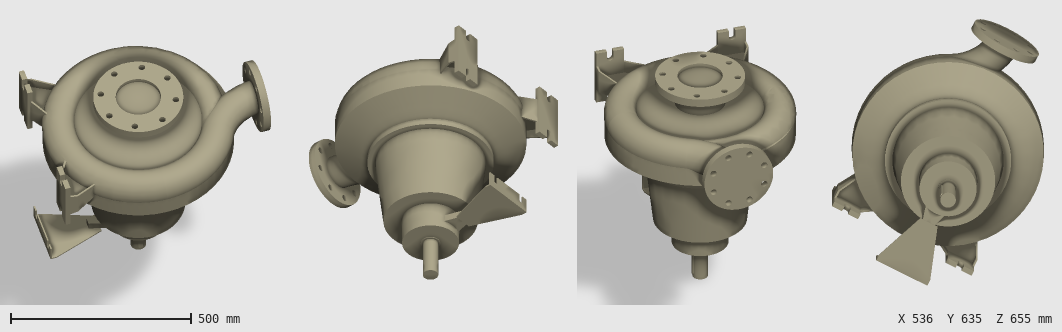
import cadquery as cq
import math


suction_face_z = 125.0
suction_flange_radius = 125.0
suction_flange_thickness = 23.5
suction_bolt_circle_radius = 105.0
neck_radius = 71.0
neck_base_z = 39.0
suction_bore_radius = 63.0
suction_bore_depth = 12.5

drum_radius = 266.0
drum_top_z = 4.0
drum_bottom_z = -69.5
joint_radius = 175.5
joint_top_z = -116.0
joint_bottom_z = -135.0
bell_top_radius = 154.5
bell_bottom_radius = 131.0
bell_bottom_z = -340.5
housing_top_radius = 81.0
housing_bottom_radius = 79.0
housing_bottom_z = -417.0
lip_radius = 27.5
lip_height = 2.0
shaft_radius = 21.5
shaft_end_z = -530.0

key_width = 13.0
key_height_above_shaft = 2.0
key_length = 92.5
key_bottom_z = -521.5

volute_outer_radius = 268.0
volute_pipe_diameter = 95.0
volute_pipe_radius = volute_pipe_diameter / 2
volute_centre_radius = volute_outer_radius - volute_pipe_radius
scroll_radius_at_back = 40.0
scroll_centre_radius_at_back = 211.0
scroll_start_angle = 180
quarter_turn = 90
scroll_step_count = 6
discharge_face_y = 355.0
discharge_flange_radius = 100.0
discharge_flange_thickness = 21.5
discharge_bolt_circle_radius = 80.0

flange_bolt_count = 8
flange_bolt_diameter = 18.5

foot_face_y = -280.0
foot_centre_x = 177.5
foot_width = 81.0
foot_height = 160.0
foot_thickness = 15.0
foot_slot_width = 19.0
foot_slot_depth = 30.0
outer_rib_thickness = 5.0
inner_rib_width_along_y = 6.5
web_thickness = 5.0
rib_bend_y = -243.0
rib_height_at_plate = 78.0
rib_height_at_casing = 47.0
outer_rib_end = (181.5, -174.0)
inner_rib_end = (78.5, -236.5)

arm_root_y = -74.5
arm_tip_y = -147.5
arm_root_width = 61.5
arm_tip_width = 19.0
arm_top_z = -375.0
arm_bottom_z = -395.5
support_start_y = -115.0
support_start_width = 54.0
support_width = 160.0
support_straight_length = 18.0
support_height = 44.5
support_thickness = 4.0
support_slot_spacing = 110.0
support_slot_width = 14.5
support_slot_depth = 24.0


def rotating_body():
    """Suction flange, casing, bearing bracket and shaft as one turned profile."""
    flange_bottom_z = suction_face_z - suction_flange_thickness
    profile = [
        (0, suction_face_z),
        (suction_flange_radius, suction_face_z),
        (suction_flange_radius, flange_bottom_z),
        (neck_radius, flange_bottom_z),
        (neck_radius, neck_base_z),
        (drum_radius, drum_top_z),
        (drum_radius, drum_bottom_z),
        (joint_radius, joint_top_z),
        (joint_radius, joint_bottom_z),
        (bell_top_radius, joint_bottom_z),
        (bell_bottom_radius, bell_bottom_z),
        (housing_top_radius, bell_bottom_z),
        (housing_bottom_radius, housing_bottom_z),
        (lip_radius, housing_bottom_z),
        (lip_radius, housing_bottom_z - lip_height),
        (shaft_radius, housing_bottom_z - lip_height),
        (shaft_radius, shaft_end_z),
        (0, shaft_end_z),
    ]
    return cq.Workplane("XZ").polyline(profile).close().revolve(360, (0, 0), (0, 1))


def bolt_holes(workplane, bolt_circle_radius, depth):
    half_pitch = 180 / flange_bolt_count
    return (
        workplane.polarArray(bolt_circle_radius, half_pitch, 360, flange_bolt_count)
        .circle(flange_bolt_diameter / 2)
        .extrude(-depth)
    )


def suction_cuts():
    face = cq.Workplane("XY", origin=(0, 0, suction_face_z))
    bore = face.circle(suction_bore_radius).extrude(-suction_bore_depth)
    return bore.union(bolt_holes(face, suction_bolt_circle_radius, suction_flange_thickness))


def shaft_key():
    return (
        cq.Workplane("YZ", origin=(0, 0, key_bottom_z + key_length / 2))
        .slot2D(key_length, key_width, 90)
        .extrude(shaft_radius + key_height_above_shaft)
    )


def point_at(radius, angle):
    return (radius * math.cos(math.radians(angle)), radius * math.sin(math.radians(angle)))


bend_radius = (discharge_face_y**2 - volute_centre_radius**2) / (2 * volute_centre_radius)
bend_angle = math.degrees(math.asin(discharge_face_y / (volute_centre_radius + bend_radius)))


def volute_pipe():
    """Constant round pipe, three quarters round the casing and out through the reverse bend."""
    bend_middle = point_at(bend_radius, 180 + bend_angle / 2)
    path = (
        cq.Workplane("XY")
        .moveTo(-volute_centre_radius, 0)
        .threePointArc((0, -volute_centre_radius), (volute_centre_radius, 0))
        .threePointArc(
            point_at(volute_centre_radius, bend_angle / 2),
            point_at(volute_centre_radius, bend_angle),
        )
        .threePointArc(
            (bend_radius + bend_middle[0], discharge_face_y + bend_middle[1]),
            (0, discharge_face_y),
        )
    )
    return (
        cq.Workplane("XZ", origin=(-volute_centre_radius, 0, 0))
        .circle(volute_pipe_radius)
        .sweep(path)
    )


def tapering_scroll():
    """Shrinking end of the scroll, from the left side round to where it meets the pipe.

    The taper grows with the square of the angle, so it leaves the pipe smoothly.
    """
    sections = []
    for step in range(scroll_step_count + 1):
        angle = scroll_start_angle - (scroll_start_angle - bend_angle) * step / scroll_step_count
        taper = ((scroll_start_angle - angle) / quarter_turn) ** 2
        radius = volute_pipe_radius + (scroll_radius_at_back - volute_pipe_radius) * taper
        centre_radius = (
            volute_centre_radius + (scroll_centre_radius_at_back - volute_centre_radius) * taper
        )
        centre = cq.Vector(*point_at(centre_radius, angle), 0)
        along = cq.Vector(*point_at(1, angle - 90), 0)
        sections.append(cq.Wire.makeCircle(radius, centre, along))
    return cq.Workplane(obj=cq.Solid.makeLoft(sections))


def discharge_flange():
    face = cq.Workplane("XZ", origin=(0, discharge_face_y, 0)).workplane(invert=True)
    flange = face.circle(discharge_flange_radius).extrude(-discharge_flange_thickness)
    return flange.cut(
        bolt_holes(face, discharge_bolt_circle_radius, discharge_flange_thickness)
    )


def slot_cutter(x, y, open_z, depth, width, thickness, direction):
    """Open slot through a plate facing -Y; direction +1 opens upward, -1 downward."""
    return (
        cq.Workplane("XZ", origin=(x, y, open_z))
        .slot2D(2 * depth, width, 90 * direction)
        .extrude(-thickness)
    )


def prism(outline, height):
    """Upright prism centred on the middle plane of the volute."""
    return cq.Workplane("XY").polyline(outline).close().extrude(height / 2, both=True)


def foot():
    """Right-hand foot: slotted plate, two tapered ribs and a web between them."""
    plate_back_y = foot_face_y + foot_thickness
    plate = cq.Workplane("XY").box(foot_width, foot_thickness, foot_height).translate(
        (foot_centre_x, foot_face_y + foot_thickness / 2, 0)
    )
    for side in (1, -1):
        plate = plate.cut(
            slot_cutter(
                foot_centre_x, foot_face_y, side * foot_height / 2,
                foot_slot_depth, foot_slot_width, foot_thickness, side,
            )
        )

    outer_x = foot_centre_x + foot_width / 2
    inner_x = foot_centre_x - foot_width / 2
    rib_start_y = plate_back_y - inner_rib_width_along_y
    outer_edge = [(outer_x, plate_back_y), (outer_x, rib_bend_y), outer_rib_end]
    inner_edge = [inner_rib_end, (inner_x, rib_start_y)]
    outer_rib = prism(
        outer_edge + [(x - outer_rib_thickness, y) for x, y in reversed(outer_edge)],
        rib_height_at_plate,
    )
    inner_rib = prism(
        inner_edge + [(x, y + inner_rib_width_along_y) for x, y in reversed(inner_edge)],
        rib_height_at_plate,
    )
    taper = (
        cq.Workplane("YZ")
        .polyline([
            (rib_start_y, -rib_height_at_plate / 2),
            (outer_rib_end[1], -rib_height_at_casing / 2),
            (outer_rib_end[1], rib_height_at_casing / 2),
            (rib_start_y, rib_height_at_plate / 2),
        ])
        .close()
        .extrude(outer_x)
    )
    web = prism(outer_edge + inner_edge + [(inner_x, plate_back_y)], web_thickness)
    return plate.union(outer_rib.union(inner_rib).intersect(taper)).union(web)


def symmetric_plate(right_edge, bottom_z, thickness):
    """Flat plate given by the points of its +X edge, mirrored across the YZ plane."""
    left_edge = [(-x, y) for x, y in reversed(right_edge)]
    return (
        cq.Workplane("XY", origin=(0, 0, bottom_z))
        .polyline(right_edge + left_edge)
        .close()
        .extrude(thickness)
    )


def support_bracket():
    """Tapered arm on the bearing housing carrying a sheet support with a slotted upright."""
    arm = symmetric_plate(
        [(arm_root_width / 2, arm_root_y), (arm_tip_width / 2, arm_tip_y)],
        arm_bottom_z,
        arm_top_z - arm_bottom_z,
    )
    sheet_bottom_z = arm_bottom_z - support_thickness
    sheet = symmetric_plate(
        [
            (support_start_width / 2, support_start_y),
            (support_width / 2, foot_face_y + support_straight_length),
            (support_width / 2, foot_face_y),
        ],
        sheet_bottom_z,
        support_thickness,
    )
    upright = cq.Workplane("XY").box(
        support_width, support_thickness, support_height, centered=(True, False, False)
    ).translate((0, foot_face_y, sheet_bottom_z))
    for side in (-1, 1):
        upright = upright.cut(
            slot_cutter(
                side * support_slot_spacing / 2, foot_face_y, sheet_bottom_z + support_height,
                support_slot_depth, support_slot_width, support_thickness, 1,
            )
        )
    return arm.union(sheet).union(upright)


right_foot = foot()
left_foot = right_foot.mirror("YZ")

result = (
    rotating_body()
    .union(volute_pipe())
    .union(tapering_scroll())
    .union(discharge_flange())
    .union(right_foot)
    .union(left_foot)
    .union(support_bracket())
    .union(shaft_key())
    .cut(suction_cuts())
)